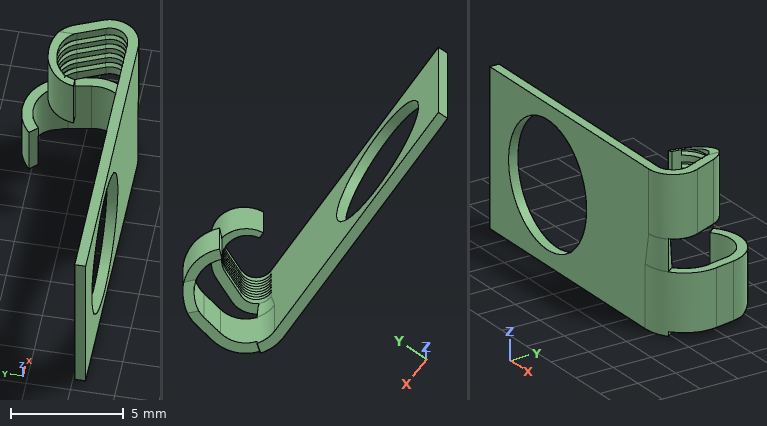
import cadquery as cq
import math

height = 7.92
thickness = 0.5

hole_x = 4.73
hole_radius = 3.18

hook_height = 3.16
bridge_start_x = 11.95
bridge_end_x = 13.95

wide_radius = 2.07
wide_bend_x = 12.71
wide_curl_x = 12.52
wide_curl_y = 3.09
wide_tip_angle = 133
wide_base_z = 0.24

relief_z = 0.64
relief_level_start = 0.85
relief_slope_length = 1.33

tight_bend_x = 12.99
tight_bend_radius = 1.3
lean_angle = 23
tight_curl_x = 12.25
tight_curl_radius = 1.57
tight_tip_y = 2.51
tip_thickness = 0.31

slope_start_x = 13.17
slope_angle = 14

groove_count = 4
groove_pitch = 0.64
first_groove_drop = 0.64
groove_upper_width = 0.18
groove_lower_width = 0.13
groove_depth = 0.15
groove_end_angle = 150


def polar(center, radius, angle):
    """Point at an angle (degrees from +X) on a circle."""
    a = math.radians(angle)
    return (center[0] + radius * math.cos(a), center[1] + radius * math.sin(a))


def arc_to(sketch, center, radius, start, end):
    """Continue a sketch along an arc that begins at the current point."""
    return sketch.threePointArc(polar(center, radius, (start + end) / 2), polar(center, radius, end))


wide_bend = (wide_bend_x, wide_radius)
wide_curl = (wide_curl_x, wide_curl_y)
tight_bend = (tight_bend_x, tight_bend_radius)

wide_flank_angle = math.degrees(math.atan2(wide_bend_x - wide_curl_x, wide_curl_y - wide_radius))

lean = math.radians(lean_angle)
tight_curl_y = tight_bend_radius + (
    tight_bend_radius - tight_curl_radius + (tight_bend_x - tight_curl_x) * math.cos(lean)
) / math.sin(lean)
tight_curl = (tight_curl_x, tight_curl_y)

curl_tip_inner_x = tight_curl_x - tight_curl_radius + tip_thickness
flank_inner_x = tight_curl_x + (tight_curl_radius - thickness) / math.cos(lean)
curl_inner_radius = (flank_inner_x - curl_tip_inner_x) / (1 + 1 / math.cos(lean))
curl_inner = (curl_tip_inner_x + curl_inner_radius, tight_curl_y)


def bend_outline(plane_z, center, radius):
    """Plate edge and bend, from the bridge start to a radial end with its outer corner at bridge_end_x."""
    end_angle = math.degrees(math.asin((bridge_end_x - center[0]) / radius)) - 90
    inner_radius = radius - thickness
    outline = cq.Workplane("XY", origin=(0, 0, plane_z)).moveTo(bridge_start_x, 0)
    outline = outline.lineTo(center[0], 0)
    outline = arc_to(outline, center, radius, -90, end_angle)
    outline = outline.lineTo(*polar(center, inner_radius, end_angle))
    outline = arc_to(outline, center, inner_radius, end_angle, -90)
    return outline.lineTo(bridge_start_x, thickness).close()


def hook_outline(plane_z, flank_angle, bend, bend_radius, outer_curl, inner_curl):
    """Whole hook from the bridge start; each curl is (centre, radius, tip angle)."""
    bend_inner_radius = bend_radius - thickness
    outer_center, outer_radius, outer_tip = outer_curl
    inner_center, inner_radius, inner_tip = inner_curl
    outline = cq.Workplane("XY", origin=(0, 0, plane_z)).moveTo(bridge_start_x, 0)
    outline = outline.lineTo(bend[0], 0)
    outline = arc_to(outline, bend, bend_radius, -90, flank_angle)
    outline = outline.lineTo(*polar(outer_center, outer_radius, flank_angle))
    outline = arc_to(outline, outer_center, outer_radius, flank_angle, outer_tip)
    outline = outline.lineTo(*polar(inner_center, inner_radius, inner_tip))
    outline = arc_to(outline, inner_center, inner_radius, inner_tip, flank_angle)
    outline = outline.lineTo(*polar(bend, bend_inner_radius, flank_angle))
    outline = arc_to(outline, bend, bend_inner_radius, flank_angle, -90)
    return outline.lineTo(bridge_start_x, thickness).close()


def make_plate():
    plate = cq.Workplane("XY").box(bridge_start_x, thickness, height, centered=False)
    hole_plane = cq.Workplane("XZ", origin=(hole_x, 0, height / 2))
    hole = hole_plane.circle(hole_radius).extrude(-thickness)
    return plate.cut(hole)


def make_bridge():
    """Blend between the bends of the two hooks."""
    upper_z = height - hook_height
    lower = bend_outline(hook_height, wide_bend, wide_radius).val()
    upper = bend_outline(upper_z, tight_bend, tight_bend_radius).val()
    return cq.Workplane(cq.Solid.makeLoft([lower, upper], True))


def make_wide_hook():
    outer_curl = (wide_curl, wide_radius, wide_tip_angle)
    inner_curl = (wide_curl, wide_radius - thickness, wide_tip_angle)
    outline = hook_outline(wide_base_z, wide_flank_angle, wide_bend, wide_radius, outer_curl, inner_curl)
    hook = outline.extrude(hook_height - wide_base_z)

    tip = math.radians(wide_tip_angle)
    relief_plane = cq.Plane(
        origin=(wide_curl_x, wide_curl_y, 0),
        xDir=(math.cos(tip), math.sin(tip), 0),
        normal=(math.sin(tip), -math.cos(tip), 0),
    )
    relief = (
        cq.Workplane(relief_plane)
        .moveTo(relief_level_start - relief_slope_length, wide_base_z)
        .lineTo(relief_level_start, relief_z)
        .lineTo(wide_radius, relief_z)
        .lineTo(wide_radius, wide_base_z)
        .close()
        .extrude(wide_radius, both=True)
    )
    foot = bend_outline(0, wide_bend, wide_radius).extrude(wide_base_z)
    return hook.cut(relief).union(foot)


def make_groove(z):
    """V groove along the bend, flank and curl of the tight hook; z is its deepest line."""
    bend_radius = tight_bend_radius - thickness
    path = cq.Workplane("XY", origin=(0, 0, z)).moveTo(tight_bend_x, thickness)
    path = arc_to(path, tight_bend, bend_radius, -90, lean_angle)
    path = path.lineTo(*polar(curl_inner, curl_inner_radius, lean_angle))
    path = arc_to(path, curl_inner, curl_inner_radius, lean_angle, groove_end_angle)
    profile = (
        cq.Workplane("YZ", origin=(tight_bend_x, thickness, z))
        .moveTo(-groove_depth, 0)
        .lineTo(0, groove_upper_width)
        .lineTo(0, -groove_lower_width)
        .close()
    )
    return profile.sweep(path)


def tip_angle(radius):
    """Angle at which an arc of the tight curl comes down to the level of the tip."""
    return 180 - math.degrees(math.asin((tight_tip_y - tight_curl_y) / radius))


def make_tight_hook():
    outer_curl = (tight_curl, tight_curl_radius, tip_angle(tight_curl_radius))
    inner_curl = (curl_inner, curl_inner_radius, tip_angle(curl_inner_radius))
    base_z = height - hook_height
    outline = hook_outline(base_z, lean_angle, tight_bend, tight_bend_radius, outer_curl, inner_curl)
    hook = outline.extrude(hook_height)

    for i in range(groove_count):
        hook = hook.cut(make_groove(height - first_groove_drop - i * groove_pitch))

    curl_end_x = tight_curl_x - tight_curl_radius
    tip_drop = (slope_start_x - curl_end_x) * math.tan(math.radians(slope_angle))
    wedge = (
        cq.Workplane("XZ", origin=(0, tight_bend_radius, 0))
        .moveTo(slope_start_x, height)
        .lineTo(curl_end_x, height)
        .lineTo(curl_end_x, height - tip_drop)
        .close()
        .extrude(-(tight_curl_y + tight_curl_radius))
    )
    return hook.cut(wedge)


result = make_plate().union(make_bridge()).union(make_wide_hook()).union(make_tight_hook())